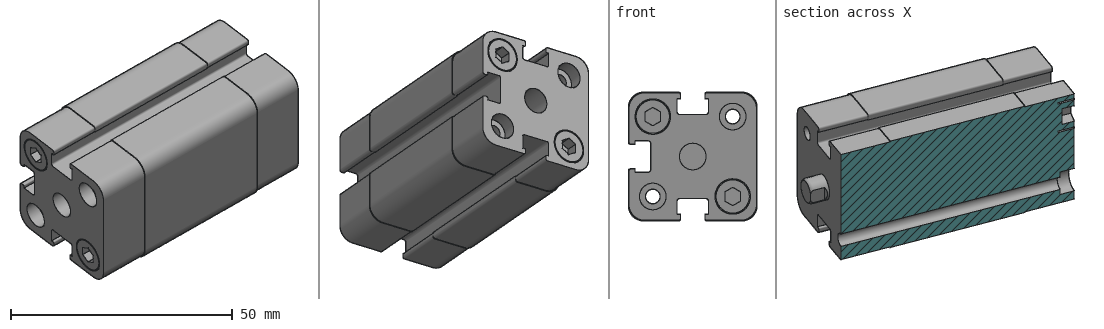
import cadquery as cq

cap_length = 12.25
tube_length = 33.5
body_length = 2 * cap_length + tube_length
rod_length = 4.5

tube_width = 29.05
cap_width = 28.7
corner_radius = 3.5

slot_sides = (0, 90, 180)
slot_width = 7.0
slot_opening = 5.5
slot_floor = 9.5
lip_bottom = 13.0
floor_radius = 0.5
lip_radius = 0.5
inner_lip_radius = 0.3
selection_margin = 0.1

rod_diameter = 6.0
rod_across_flats = 5.0
flat_length = 3.5
flat_runout = (rod_diameter - rod_across_flats) / 2
crown_length = 0.85
crown_depth = 0.35
crown_radius = (crown_length**2 + crown_depth**2) / (2 * crown_depth)

hole_offset = 9.0
port_diameter = 6.0
port_depth = 8.0
through_diameter = 3.24
counterbore_diameter = 6.0
counterbore_depth = 3.5
screw_pocket_diameter = 8.0
screw_head_diameter = 7.5
screw_head_height = 4.0
hex_corner_diameter = 4.13
hex_turn = 30
hex_depth = 3.0


def front_plane(y):
    """Sketch plane at a given Y; local x is X, local y is Z, extrusion goes toward -Y."""
    return cq.Workplane("XZ", origin=(0, y, 0))


def disc(diameter, start, length, points=((0, 0),)):
    """Cylinders along +Y, centred on the given (X, Z) points."""
    return front_plane(start).pushPoints(points).circle(diameter / 2).extrude(-length)


def slot(start, length, half_width, rounded_inside):
    """T-slot cutter on the +Z side; the lips are rounded outside and, if asked, inside."""
    half_opening = slot_opening / 2
    half_slot = slot_width / 2
    throat = (
        front_plane(start)
        .moveTo(-half_opening - lip_radius, half_width)
        .radiusArc((-half_opening, half_width - lip_radius), lip_radius)
        .lineTo(-half_opening, lip_bottom)
        .lineTo(half_opening, lip_bottom)
        .lineTo(half_opening, half_width - lip_radius)
        .radiusArc((half_opening + lip_radius, half_width), lip_radius)
        .close()
        .extrude(-length)
    )
    chamber_height = lip_bottom - slot_floor
    chamber = (
        front_plane(start)
        .center(0, slot_floor + chamber_height / 2)
        .rect(slot_width, chamber_height)
        .extrude(-length)
        .edges("|Y and <Z")
        .fillet(floor_radius)
    )
    cutter = throat.union(chamber)
    if rounded_inside:
        inner_corners = cq.selectors.BoxSelector(
            (-half_slot + selection_margin, start - selection_margin, lip_bottom - selection_margin),
            (half_slot - selection_margin, start + length + selection_margin, lip_bottom + selection_margin),
        )
        cutter = cutter.edges("|Y").edges(inner_corners).fillet(inner_lip_radius)
    return cutter


def section(start, length, width, rounded_inside):
    """Slotted square length of the body."""
    block = front_plane(start).rect(width, width).extrude(-length).edges("|Y").fillet(corner_radius)
    cutter = slot(start, length, width / 2, rounded_inside)
    for angle in slot_sides:
        block = block.cut(cutter.rotate((0, 0, 0), (0, -1, 0), angle))
    return block


def rod():
    """Piston rod stub with two wrench flats and a crowned tip."""
    root = body_length - cap_length / 2
    tip = body_length + rod_length
    radius = rod_diameter / 2
    half_flat = rod_across_flats / 2
    bar = (
        cq.Workplane("XY")
        .moveTo(0, root)
        .lineTo(radius, root)
        .lineTo(radius, tip - crown_length)
        .radiusArc((radius - crown_depth, tip), -crown_radius)
        .lineTo(0, tip)
        .close()
        .revolve(360, (0, 0, 0), (0, 1, 0))
    )
    flats = (
        cq.Workplane("XY")
        .moveTo(-radius, root)
        .lineTo(radius, root)
        .lineTo(radius, tip - flat_length - flat_runout)
        .lineTo(half_flat, tip - flat_length)
        .lineTo(half_flat, tip)
        .lineTo(-half_flat, tip)
        .lineTo(-half_flat, tip - flat_length)
        .lineTo(-radius, tip - flat_length - flat_runout)
        .close()
        .extrude(rod_diameter, both=True)
    )
    return bar.intersect(flats)


def cut_mounting_holes(body):
    """Counterbored through holes in two opposite corners."""
    points = ((hole_offset, hole_offset), (-hole_offset, -hole_offset))
    body = body.cut(disc(through_diameter, 0, body_length, points))
    return body.cut(disc(counterbore_diameter, 0, counterbore_depth, points))


def add_screws(body):
    """Socket screw heads, flush in their pockets, in the other two corners."""
    points = ((-hole_offset, hole_offset), (hole_offset, -hole_offset))
    body = body.cut(disc(screw_pocket_diameter, 0, screw_head_height, points))
    body = body.union(disc(screw_head_diameter, 0, screw_head_height, points))
    for x, z in points:
        socket = (
            front_plane(0)
            .polygon(6, hex_corner_diameter)
            .extrude(-hex_depth)
            .rotate((0, 0, 0), (0, 1, 0), hex_turn)
            .translate((x, 0, z))
        )
        body = body.cut(socket)
    return body


result = section(cap_length, tube_length, tube_width, rounded_inside=False)
for cap_start in (0, body_length - cap_length):
    result = result.union(section(cap_start, cap_length, cap_width, rounded_inside=True))
result = result.union(rod())
result = result.cut(disc(port_diameter, 0, port_depth))
result = cut_mounting_holes(result)
result = add_screws(result)